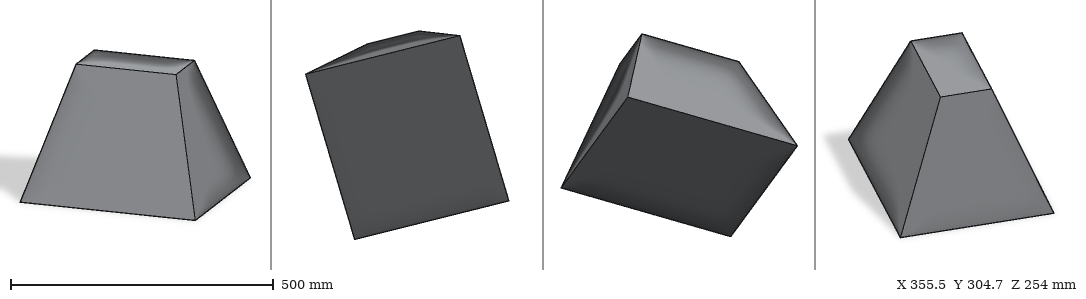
import cadquery as cq

base_length = 355.5
base_width = 304.7
height = 254.0
top_length = 203.0
top_width = 101.7

result = (
    cq.Workplane("XY")
    .rect(base_length, base_width)
    .workplane(offset=height)
    .rect(top_length, top_width)
    .loft(ruled=True, combine=True)
)